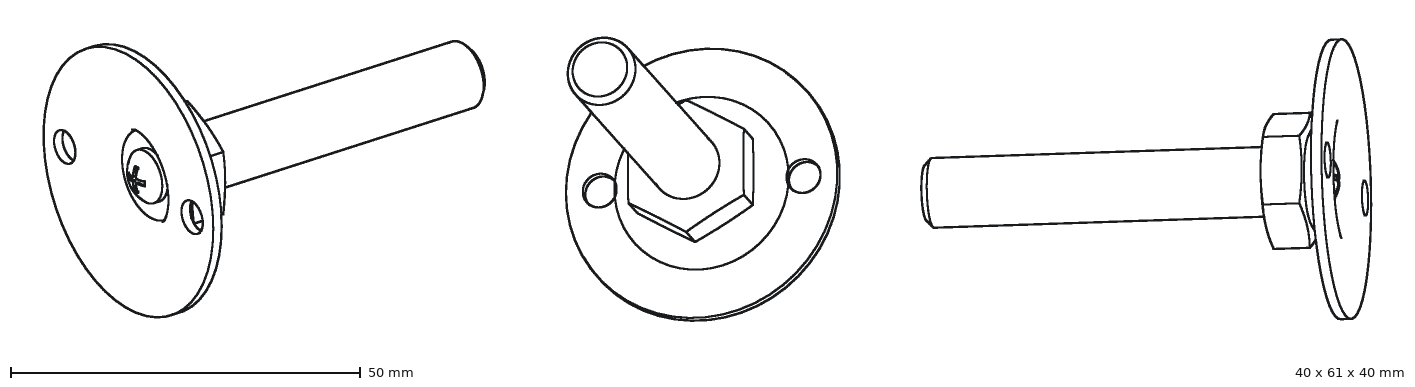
import cadquery as cq
import math

total_length = 61.0

plate_diameter = 40.0
plate_thickness = 1.5
screw_hole_diameter = 5.0
screw_hole_offset = 15.0

cone_base_diameter = 25.7
cone_top_diameter = 13.35
cone_top_y = 4.95
recess_depth = 4.0
recess_floor_diameter = 13.55
recess_mouth_diameter = recess_floor_diameter + 2 * recess_depth

head_diameter = 8.0
head_rim_height = 1.0
head_height = 3.0
cross_length = 3.9
cross_width = 0.75
cross_depth = 0.5

nut_across_flats = 17.0
nut_corner_diameter = nut_across_flats / math.cos(math.pi / 6)
nut_height = 6.0
nut_end_y = cone_top_y + nut_height
nut_chamfer_angle = math.radians(15)

stud_diameter = 10.0
stud_chamfer = 1.0

plate_face_y = 0.0
head_seat_y = plate_face_y + recess_depth


def revolve_about_y(profile):
    return profile.close().revolve(360, (0, 0, 0), (0, 1, 0))


def disc(diameter, start_y, end_y):
    return cq.Workplane("XZ", origin=(0, start_y, 0)).circle(diameter / 2).extrude(start_y - end_y)


def make_base():
    plate_back_y = plate_face_y + plate_thickness
    plate = disc(plate_diameter, plate_face_y, plate_back_y)
    for side in (-1, 1):
        hole = disc(screw_hole_diameter, plate_face_y, plate_back_y)
        plate = plate.cut(hole.translate((side * screw_hole_offset, 0, 0)))
    cone = revolve_about_y(
        cq.Workplane("XY")
        .moveTo(0, plate_back_y)
        .lineTo(cone_base_diameter / 2, plate_back_y)
        .lineTo(cone_top_diameter / 2, cone_top_y)
        .lineTo(0, cone_top_y)
    )
    arc_offset = recess_depth * (1 - math.sqrt(0.5))
    recess = revolve_about_y(
        cq.Workplane("XY")
        .moveTo(0, plate_face_y)
        .lineTo(recess_mouth_diameter / 2, plate_face_y)
        .threePointArc(
            (recess_floor_diameter / 2 + arc_offset, plate_face_y + arc_offset),
            (recess_floor_diameter / 2, head_seat_y),
        )
        .lineTo(0, head_seat_y)
    )
    return plate.union(cone).cut(recess)


def make_head():
    rim_y = head_seat_y - head_rim_height
    tip_y = head_seat_y - head_height
    radius = head_diameter / 2
    dome_height = head_height - head_rim_height
    dome_radius = (radius**2 + dome_height**2) / (2 * dome_height)
    half_angle = math.asin(radius / dome_radius) / 2
    arc_middle = (
        dome_radius * math.sin(half_angle),
        tip_y + dome_radius * (1 - math.cos(half_angle)),
    )
    head = revolve_about_y(
        cq.Workplane("XY")
        .moveTo(0, cone_top_y)
        .lineTo(radius, cone_top_y)
        .lineTo(radius, rim_y)
        .threePointArc(arc_middle, (0, tip_y))
    )
    for size_x, size_z in ((cross_length, cross_width), (cross_width, cross_length)):
        slot = cq.Workplane("XY").box(size_x, 2 * cross_depth, size_z)
        head = head.cut(slot.translate((0, tip_y, 0)))
    return head


def make_nut():
    prism = (
        cq.Workplane("XZ", origin=(0, cone_top_y, 0))
        .polygon(6, nut_corner_diameter)
        .extrude(-nut_height)
        .rotate((0, 0, 0), (0, 1, 0), 90)
    )
    flat_radius = nut_across_flats / 2
    corner_radius = nut_corner_diameter / 2
    chamfer_height = (corner_radius - flat_radius) * math.tan(nut_chamfer_angle)
    blank = revolve_about_y(
        cq.Workplane("XY")
        .moveTo(0, cone_top_y)
        .lineTo(flat_radius, cone_top_y)
        .lineTo(corner_radius, cone_top_y + chamfer_height)
        .lineTo(corner_radius, nut_end_y - chamfer_height)
        .lineTo(flat_radius, nut_end_y)
        .lineTo(0, nut_end_y)
    )
    return prism.intersect(blank)


def make_stud():
    return disc(stud_diameter, cone_top_y, total_length).faces(">Y").chamfer(stud_chamfer)


result = make_base().union(make_head()).union(make_nut()).union(make_stud())